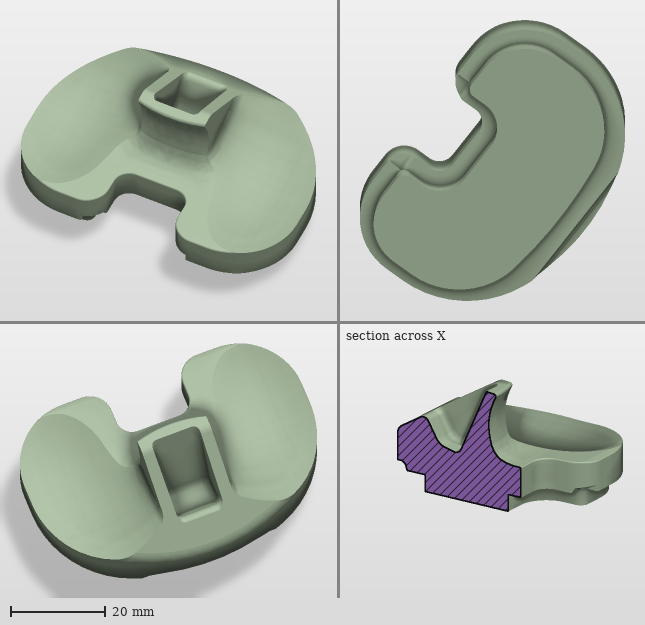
import cadquery as cq
import math


half_width = 31.7
length = 43.1
front_radius = 46.9
side_radius = 22.8
rear_radius = 14.25
notch_half_width = 8.2
notch_depth = 11.4
notch_inner_radius = 3.5
leg_corner_radius = 5.1
leg_rim_radius = 0.3

pad_height = 3.8
pad_half_width = 28.45
pad_rear_y = 3.1
pad_front_y = 36.05
pad_front_radius = 101.4
pad_side_radius = 16.65
pad_rear_radius = 10.5
pad_notch_half_width = 11.3
pad_notch_depth = 14.65
pad_notch_radius = 6.6
pad_corner_radius = 1.9

deck_z = 10.65
ridge_y = 1.8
ridge_z = 10.95
leg_end_z = 10.7
ridge_radius = 3.15

top_z = 26.05
crest_y = 20.9
crest_mid = (21.85, 25.9)
slope_start = (22.7, 25.55)
slope_fall = 0.61
front_edge_radius = 2.55

post_half_width = 7.85
post_bow_radius = 29.15
post_back_reach = 13.95
foot_start_y = 11.85
foot_low = (14.6, 10.85)
foot_mid = (16.8, 11.5)
foot_top = (18.8, 14.1)
foot_top_direction = (0.35, 1)
post_waist = (19.6, 18.7)
post_tip = (17.75, 25.2)
tip_round_mid = (17.9, 25.7)
tip_round_end = (18.5, 25.9)
top_rear_y = 19.95

bowl_x = 22.6
bowl_floor_z = 8.3
bowl_low_y = 16.0
bowl_cross_radius = 24.4
bowl_sweep_radius = 44.35
bowl_wall_fillet = 2.8
bowl_clear_height = 31.7
bowl_front_start_y = 21.55

pocket_half_width = 5.4
pocket_draft = 1.5
pocket_rear_y = 20.3
pocket_floor_rear = (27.3, 10.4)
pocket_floor_front = (32.25, 11.5)
pocket_mouth = (35.85, 17.55)
pocket_flare_fall = 0.6
pocket_flare_run = 3.8
pocket_floor_rear_radius = 1.65
pocket_floor_front_radius = 3.15
pocket_mouth_radius = 1.6
pocket_side_radius = 1.4

leg_relief_half_width = 12.3
leg_relief_z = 5.45
leg_relief_roof_end = (3.3, 5.0)
leg_relief_end_y = 4.05
lip_roof_z = 5.75
lip_roof_end_y = 41.8
lip_mid = (41.05, 5.2)
lip_end_y = 40.55

margin = 0.65


def nearest(x, y, z):
    return cq.selectors.NearestToPointSelector((x, y, z))


def extrude_across(profile, half):
    """Close a YZ profile and extrude it by the same amount to both sides."""
    return profile.close().extrude(half, both=True)


def kidney(half, rear_y, front_y, front_r, side_r, rear_r, height):
    """Prism with a front arc, two side arcs that touch it, and two rear arcs."""
    side_x = half - side_r
    front_center_y = front_y - front_r
    side_y = front_center_y + math.sqrt((front_r - side_r) ** 2 - side_x**2)
    reach = front_r / (front_r - side_r)
    touch_x = side_x * reach
    touch_y = front_center_y + (side_y - front_center_y) * reach
    turn = math.atan2(touch_y - side_y, touch_x - side_x) / 2
    side_mid_x = side_x + side_r * math.cos(turn)
    side_mid_y = side_y + side_r * math.sin(turn)
    rear_x = half - rear_r
    rear_mid_x = rear_x + rear_r * math.sqrt(0.5)
    rear_mid_y = rear_y + rear_r * (1 - math.sqrt(0.5))
    return (
        cq.Workplane("XY")
        .moveTo(-rear_x, rear_y)
        .lineTo(rear_x, rear_y)
        .threePointArc((rear_mid_x, rear_mid_y), (half, rear_y + rear_r))
        .lineTo(half, side_y)
        .threePointArc((side_mid_x, side_mid_y), (touch_x, touch_y))
        .threePointArc((0, front_y), (-touch_x, touch_y))
        .threePointArc((-side_mid_x, side_mid_y), (-half, side_y))
        .lineTo(-half, rear_y + rear_r)
        .threePointArc((-rear_mid_x, rear_mid_y), (-rear_x, rear_y))
        .close()
        .extrude(height)
    )


def cut_notch(prism, rear_y, half, depth, inner_radius, corner_radius, height):
    """Cut the rear notch and round its two inner and two outer upright edges."""
    notch = cq.Workplane("XY").rect(2 * half, 2 * depth).extrude(height)
    notch = notch.edges("|Z and >Y").fillet(inner_radius)
    prism = prism.cut(notch)
    for side in (-1, 1):
        prism = prism.edges(nearest(side * half, rear_y, height / 2)).fillet(corner_radius)
    return prism


def make_plan():
    """Flange outline as a prism taller than the part."""
    height = top_z + margin
    plan = kidney(half_width, 0, length, front_radius, side_radius, rear_radius, height)
    return cut_notch(
        plan, 0, notch_half_width, notch_depth, notch_inner_radius, leg_corner_radius, height
    )


def make_pad():
    pad = kidney(
        pad_half_width,
        pad_rear_y,
        pad_front_y,
        pad_front_radius,
        pad_side_radius,
        pad_rear_radius,
        pad_height,
    )
    return cut_notch(
        pad,
        pad_rear_y,
        pad_notch_half_width,
        pad_notch_depth,
        pad_notch_radius,
        pad_corner_radius,
        pad_height,
    )


def make_slab():
    """Flange up to the deck, with the soft ridge across the leg ends."""
    slab = extrude_across(
        cq.Workplane("YZ")
        .moveTo(0, pad_height)
        .lineTo(0, leg_end_z)
        .lineTo(ridge_y, ridge_z)
        .lineTo(foot_start_y, deck_z)
        .lineTo(length, deck_z)
        .lineTo(length, pad_height),
        half_width,
    )
    return slab.edges(nearest(0, ridge_y, ridge_z)).fillet(ridge_radius)


def make_slope():
    """Full-width wedge whose top is the front slope and the crest."""
    front_y = length + margin
    front_z = slope_start[1] - slope_fall * (front_y - slope_start[0])
    return extrude_across(
        cq.Workplane("YZ")
        .moveTo(foot_start_y, pad_height)
        .lineTo(foot_start_y, top_z)
        .lineTo(crest_y, top_z)
        .threePointArc(crest_mid, slope_start)
        .lineTo(front_y, front_z)
        .lineTo(front_y, pad_height),
        half_width + margin,
    )


def post_back_section(x):
    """YZ outline of everything in front of the post back, at one X station.

    The bow moves the post forward away from the middle, and the foot stretches
    so that it always starts on the same straight line across the deck.
    """
    bow = post_bow_radius - math.sqrt(post_bow_radius**2 - x**2)

    def bowed(point):
        return (point[0] + bow, point[1])

    def stretched(point):
        share = (point[0] - foot_start_y) / (foot_top[0] - foot_start_y)
        return (point[0] + share * bow, point[1])

    return (
        cq.Workplane("YZ", origin=(x, 0, 0))
        .moveTo(length, pad_height)
        .lineTo(foot_start_y, pad_height)
        .lineTo(foot_start_y, deck_z)
        .spline(
            [stretched(foot_low), stretched(foot_mid), bowed(foot_top)],
            tangents=[(1, 0), foot_top_direction],
            includeCurrent=True,
        )
        .threePointArc(bowed(post_waist), bowed(post_tip))
        .threePointArc(bowed(tip_round_mid), bowed(tip_round_end))
        .lineTo(top_rear_y + bow, top_z)
        .lineTo(length, top_z)
        .close()
        .wire()
        .val()
    )


def make_post_space():
    """Space the slope wedge may fill: ahead of the post back and beside the post's front."""
    stations = (-post_back_reach, 0, post_back_reach)
    back = cq.Workplane(cq.Solid.makeLoft([post_back_section(x) for x in stations]))
    front = cq.Workplane("XY", origin=(0, bowl_front_start_y, 0)).box(
        2 * (half_width + margin), length, top_z, centered=(True, False, False)
    )
    return back.union(front)


def make_blank():
    """Flange, post and rounded front slope before the cuts."""
    post = make_slope().intersect(make_post_space())
    blank = make_slab().union(post).intersect(make_plan())
    edge_z = slope_start[1] - slope_fall * (length - slope_start[0])
    return blank.edges(nearest(0, length, edge_z)).fillet(front_edge_radius)


def make_bowl():
    """Cutter for the -X bowl: a cross-section swept about an axis parallel to X.

    The section is an arc, a fillet touching it, and the upright side of the post.
    """
    axis_z = bowl_floor_z + bowl_sweep_radius
    arc_z = bowl_floor_z + bowl_cross_radius
    fillet_x = -post_half_width - bowl_wall_fillet
    fillet_reach = bowl_cross_radius - bowl_wall_fillet
    lean = math.asin((fillet_x + bowl_x) / fillet_reach)
    fillet_z = arc_z - fillet_reach * math.cos(lean)
    bend = (math.pi / 2 + lean) / 2
    fillet_mid = (
        fillet_x + bowl_wall_fillet * math.sin(bend),
        fillet_z - bowl_wall_fillet * math.cos(bend),
    )
    touch = (
        -bowl_x + bowl_cross_radius * math.sin(lean),
        arc_z - bowl_cross_radius * math.cos(lean),
    )
    outer_x = -half_width - margin
    outer_z = arc_z - math.sqrt(bowl_cross_radius**2 - (outer_x + bowl_x) ** 2)
    high_z = bowl_floor_z + bowl_clear_height
    bowl = (
        cq.Workplane("XZ", origin=(0, bowl_low_y, 0))
        .moveTo(outer_x, high_z)
        .lineTo(outer_x, outer_z)
        .threePointArc((-bowl_x, bowl_floor_z), touch)
        .threePointArc(fillet_mid, (-post_half_width, fillet_z))
        .lineTo(-post_half_width, high_z)
        .close()
        .revolve(360, (0, axis_z), (1, axis_z))
    )
    return bowl.rotate((0, bowl_low_y, axis_z), (1, bowl_low_y, axis_z), 180)


def make_pocket():
    """Cutter for the scoop that opens on the front slope."""
    flare_y = pocket_mouth[0] + pocket_flare_run
    flare_z = pocket_mouth[1] - pocket_flare_fall * pocket_flare_run
    scoop = extrude_across(
        cq.Workplane("YZ")
        .moveTo(pocket_rear_y, top_z)
        .lineTo(*pocket_floor_rear)
        .lineTo(*pocket_floor_front)
        .lineTo(*pocket_mouth)
        .lineTo(flare_y, flare_z)
        .lineTo(flare_y, top_z),
        2 * pocket_half_width,
    )
    bends = (
        (pocket_floor_rear, pocket_floor_rear_radius),
        (pocket_floor_front, pocket_floor_front_radius),
        (pocket_mouth, pocket_mouth_radius),
    )
    for corner, radius in bends:
        scoop = scoop.edges(nearest(0, *corner)).fillet(radius)
    walls = (
        cq.Workplane("XY", origin=(0, length / 2, top_z))
        .rect(2 * pocket_half_width, 2 * length)
        .extrude(-top_z, taper=pocket_draft)
    )
    scoop = scoop.intersect(walls)
    for side in (-1, 1):
        floor_edge = nearest(side * pocket_half_width, *pocket_floor_front)
        scoop = scoop.edges(floor_edge).fillet(pocket_side_radius)
    return scoop


def make_leg_relief():
    """Undercut below the inner corners of both legs."""
    return extrude_across(
        cq.Workplane("YZ")
        .moveTo(-margin, pad_height)
        .lineTo(-margin, leg_relief_z)
        .lineTo(0, leg_relief_z)
        .lineTo(*leg_relief_roof_end)
        .lineTo(leg_relief_end_y, pad_height),
        leg_relief_half_width,
    )


def make_lip_relief():
    """Undercut below the front lip."""
    return extrude_across(
        cq.Workplane("YZ")
        .moveTo(length + margin, pad_height)
        .lineTo(length + margin, lip_roof_z)
        .lineTo(lip_roof_end_y, lip_roof_z)
        .lineTo(*lip_mid)
        .lineTo(lip_end_y, pad_height),
        half_width,
    )


bowl = make_bowl()
result = make_blank().cut(bowl).cut(bowl.mirror("YZ"))
result = result.edges(nearest(0, notch_depth, deck_z)).fillet(leg_rim_radius)
result = result.cut(make_pocket())
result = result.cut(make_leg_relief()).cut(make_lip_relief())
result = result.union(make_pad())